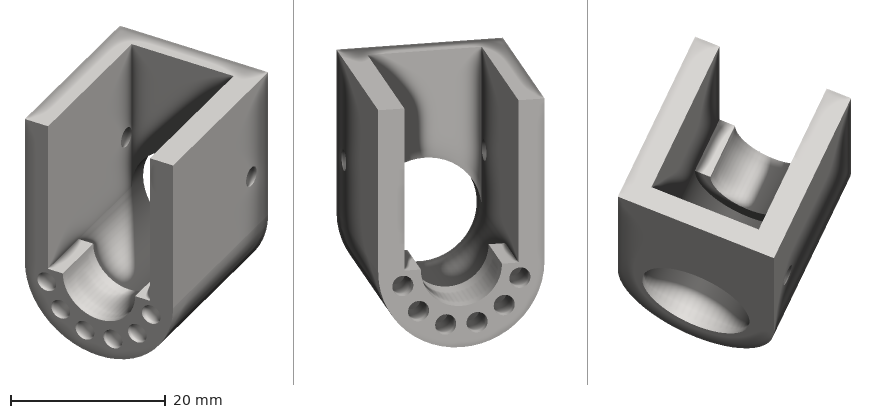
import cadquery as cq
import math

height = 33.2
width = 22.05
depth = 25.0
outer_radius = width / 2
top_z = height - outer_radius

channel_radius = 7.57
back_wall = 3.0

lip_length = 8.0
lip_bore_radius = 5.38

hole_diameter = 2.8
ring_radius = 8.03
ring_hole_count = 6
ring_hole_pitch = 180 / ring_hole_count
ring_hole_depth = 4.98
cross_hole_from_back = 4.4
cross_hole_from_top = 13.67


def cylinder_along_y(radius, start_y, length, x=0, z=0):
    start = cq.Vector(x, start_y, z)
    return cq.Workplane(obj=cq.Solid.makeCylinder(radius, length, start, cq.Vector(0, 1, 0)))


def box_along_y(half_width, start_y, length, bottom, top):
    size = (2 * half_width, length, top - bottom)
    return cq.Workplane().box(*size, centered=(True, False, False)).translate((0, start_y, bottom))


def make_body():
    block = box_along_y(outer_radius, 0, depth, 0, top_z)
    return block.union(cylinder_along_y(outer_radius, 0, depth))


def cut_channel(body):
    channel = box_along_y(channel_radius, 0, depth - back_wall, 0, top_z)
    wide_bore = cylinder_along_y(channel_radius, lip_length, depth - lip_length)
    lip_bore = cylinder_along_y(lip_bore_radius, 0, lip_length)
    return body.cut(channel).cut(wide_bore).cut(lip_bore)


def drill_ring_holes(body):
    for index in range(ring_hole_count):
        angle = math.radians(180 + (index + 0.5) * ring_hole_pitch)
        x = ring_radius * math.cos(angle)
        z = ring_radius * math.sin(angle)
        body = body.cut(cylinder_along_y(hole_diameter / 2, 0, ring_hole_depth, x, z))
    return body


def drill_cross_hole(body):
    start = cq.Vector(-outer_radius, depth - cross_hole_from_back, top_z - cross_hole_from_top)
    hole = cq.Solid.makeCylinder(hole_diameter / 2, width, start, cq.Vector(1, 0, 0))
    return body.cut(cq.Workplane(obj=hole))


result = drill_cross_hole(drill_ring_holes(cut_channel(make_body())))